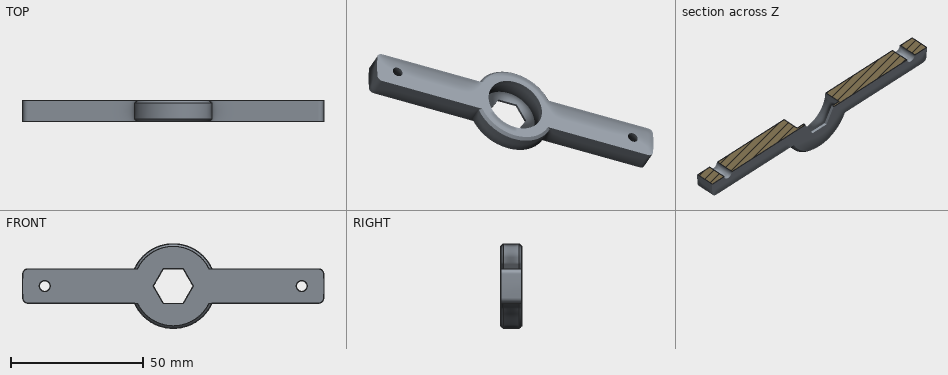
import cadquery as cq
import math

span = 114.0
arm_height = 13.0
thickness = 8.0
hub_diameter = 32.0
hub_chamfer = 1.0
corner_radius = 2.0
pin_hole_diameter = 4.0
pin_hole_spacing = 97.0
hex_across_flats = 13.0
bearing_diameter = 22.0
bearing_width = 7.0

half_span = span / 2
half_arm_height = arm_height / 2
front_y = -thickness / 2
back_y = thickness / 2
hex_across_corners = hex_across_flats / math.cos(math.radians(30))
end_corner_x = math.sqrt(half_span**2 - half_arm_height**2)


def plane_at(y):
    """Sketch plane at depth y, spanned by X and Z, with its normal towards -Y."""
    return cq.Workplane(cq.Plane(origin=(0, y, 0), xDir=(1, 0, 0), normal=(0, -1, 0)))


def make_bar():
    """Straight bar with slightly bowed ends and rounded corners."""
    return (
        plane_at(front_y)
        .moveTo(-end_corner_x, -half_arm_height)
        .lineTo(end_corner_x, -half_arm_height)
        .threePointArc((half_span, 0), (end_corner_x, half_arm_height))
        .lineTo(-end_corner_x, half_arm_height)
        .threePointArc((-half_span, 0), (-end_corner_x, -half_arm_height))
        .close()
        .extrude(-thickness)
        .edges("|Y")
        .fillet(corner_radius)
    )


def make_hub():
    """Round hub with both rims chamfered."""
    return (
        plane_at(front_y)
        .circle(hub_diameter / 2)
        .extrude(-thickness)
        .edges()
        .chamfer(hub_chamfer)
    )


def make_hex_hole():
    """Hexagonal through hole with two corners on the X axis."""
    return plane_at(front_y).polygon(6, hex_across_corners).extrude(-thickness)


def make_bearing_seat():
    """Round pocket open to the back face."""
    return plane_at(back_y).circle(bearing_diameter / 2).extrude(bearing_width)


def make_pin_holes():
    """One through hole near each end of the bar."""
    return (
        plane_at(front_y)
        .rarray(pin_hole_spacing, 1, 2, 1)
        .circle(pin_hole_diameter / 2)
        .extrude(-thickness)
    )


body = make_bar().union(make_hub())
result = body.cut(make_hex_hole()).cut(make_bearing_seat()).cut(make_pin_holes())